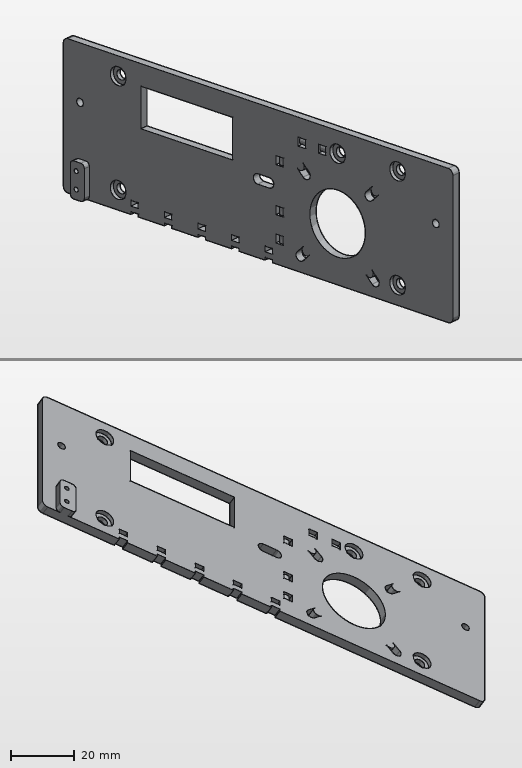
import cadquery as cq
import math

plate_length = 162.0
plate_height = 53.0
plate_thickness = 3.0
overall_depth = 5.5
plate_corner_radius = 2.0

pad_left = 5.0
pad_width = 5.8
pad_height = 13.1
pad_thickness = overall_depth - plate_thickness
pad_corner_radius = 1.5
pad_hole_diameter = 1.6
pad_hole_x = 7.5
pad_hole_heights = (3.5, 9.9)

window_left = 32.2
window_bottom = 30.6
window_width = 38.0
window_height = 14.5

motor_x = 114.0
motor_z = 21.0
motor_bore_diameter = 23.0
slot_near_offset = 13.1
slot_far_offset = 15.5
motor_slot_width = 3.4

screw_left_x = 22.8
screw_right_x = 139.0
screw_low_z = 7.0
screw_high_z = 46.0
motor_screw_z = 45.0
screw_diameter = 3.5
counterbore_diameter = 6.5
counterbore_depth = 1.5

end_hole_diameter = 2.8
end_hole_xs = (7.0, 154.9)
end_hole_z = 32.5

cable_slot_x = 83.3
cable_slot_z = 27.0
cable_slot_length = 8.5
cable_slot_width = 3.5

tie_count = 5
tie_first_x = 29.6
tie_pitch = 14.0
tie_width = 3.0
tie_bottom = 2.9
tie_height = 2.0
notch_height = 1.0

bar_pocket_size = 3.0
side_pocket_x = 89.9
side_pocket_heights = (8.7, 18.5, 35.6)
top_pocket_xs = (99.1, 107.5)
top_pocket_z = 44.5
bar_axis_depth = 2.3


def block(x, y, z, dx, dy, dz):
    """Box with its lowest corner at (x, y, z)."""
    return cq.Workplane("XY", origin=(x, y, z)).box(dx, dy, dz, centered=False)


def pin(x, z, diameter, depth, start=0.0):
    """Cylinder running toward +Y from Y = start."""
    return cq.Workplane("XZ", origin=(x, start, z)).circle(diameter / 2).extrude(-depth)


def make_plate():
    plate = block(0, 0, 0, plate_length, plate_thickness, plate_height)
    return plate.edges("|Y").fillet(plate_corner_radius)


def make_pad():
    pad = block(pad_left, -pad_thickness, 0, pad_width, pad_thickness, pad_height)
    pad = pad.edges("|Y").fillet(pad_corner_radius)
    for z in pad_hole_heights:
        pad = pad.cut(pin(pad_hole_x, z, pad_hole_diameter, pad_thickness, -pad_thickness))
    return pad


def motor_slot(low, high):
    """Slot between two (x, z) points: lower end rounded outward, upper end arched into the slot."""
    length = math.dist(low, high)
    along_x = (high[0] - low[0]) / length
    along_z = (high[1] - low[1]) / length
    radius = motor_slot_width / 2

    def place(along, across):
        x = low[0] + along_x * along - along_z * across
        z = low[1] + along_z * along + along_x * across
        return (x, z)

    return (
        cq.Workplane("XZ")
        .moveTo(*place(0, radius))
        .threePointArc(place(-radius, 0), place(0, -radius))
        .lineTo(*place(length, -radius))
        .threePointArc(place(length - radius, 0), place(length, radius))
        .close()
        .extrude(-plate_thickness)
    )


def cut_motor_mount(plate):
    plate = plate.cut(pin(motor_x, motor_z, motor_bore_diameter, plate_thickness))
    for side in (-1, 1):
        near_x = motor_x + side * slot_near_offset
        far_x = motor_x + side * slot_far_offset
        upper_near = (near_x, motor_z + slot_near_offset)
        upper_far = (far_x, motor_z + slot_far_offset)
        lower_near = (near_x, motor_z - slot_near_offset)
        lower_far = (far_x, motor_z - slot_far_offset)
        plate = plate.cut(motor_slot(upper_near, upper_far))
        plate = plate.cut(motor_slot(lower_far, lower_near))
    return plate


def cut_screw_holes(plate):
    places = [(x, z) for x in (screw_left_x, screw_right_x) for z in (screw_low_z, screw_high_z)]
    places.append((motor_x, motor_screw_z))
    for x, z in places:
        plate = plate.cut(pin(x, z, screw_diameter, plate_thickness))
        plate = plate.cut(pin(x, z, counterbore_diameter, counterbore_depth))
    return plate


def cut_end_holes(plate):
    for x in end_hole_xs:
        plate = plate.cut(pin(x, end_hole_z, end_hole_diameter, plate_thickness))
    return plate


def cut_window(plate):
    return plate.cut(block(window_left, 0, window_bottom, window_width, plate_thickness, window_height))


def cut_cable_slot(plate):
    slot = (
        cq.Workplane("XZ", origin=(cable_slot_x, 0, cable_slot_z))
        .slot2D(cable_slot_length, cable_slot_width)
        .extrude(-plate_thickness)
    )
    return plate.cut(slot)


def cut_tie_openings(plate):
    for index in range(tie_count):
        left = tie_first_x + index * tie_pitch - tie_width / 2
        plate = plate.cut(block(left, 0, tie_bottom, tie_width, plate_thickness, tie_height))
        plate = plate.cut(block(left, 0, 0, tie_width, plate_thickness, notch_height))
    return plate


def bar_pocket(x, z, axis):
    """Square pocket centred on (x, z); the half-round bar left as its floor runs along axis."""
    half = bar_pocket_size / 2
    pocket = block(x - half, 0, z - half, bar_pocket_size, bar_axis_depth, bar_pocket_size)
    bar_start = cq.Vector(x, bar_axis_depth, z) - axis * half
    bar = cq.Solid.makeCylinder(half, bar_pocket_size, bar_start, axis)
    return pocket.cut(cq.Workplane(bar))


def cut_bar_pockets(plate):
    for z in side_pocket_heights:
        plate = plate.cut(bar_pocket(side_pocket_x, z, cq.Vector(0, 0, 1)))
    for x in top_pocket_xs:
        plate = plate.cut(bar_pocket(x, top_pocket_z, cq.Vector(1, 0, 0)))
    return plate


plate = make_plate()
plate = cut_window(plate)
plate = cut_motor_mount(plate)
plate = cut_screw_holes(plate)
plate = cut_end_holes(plate)
plate = cut_cable_slot(plate)
plate = cut_tie_openings(plate)
plate = cut_bar_pockets(plate)
result = plate.union(make_pad())